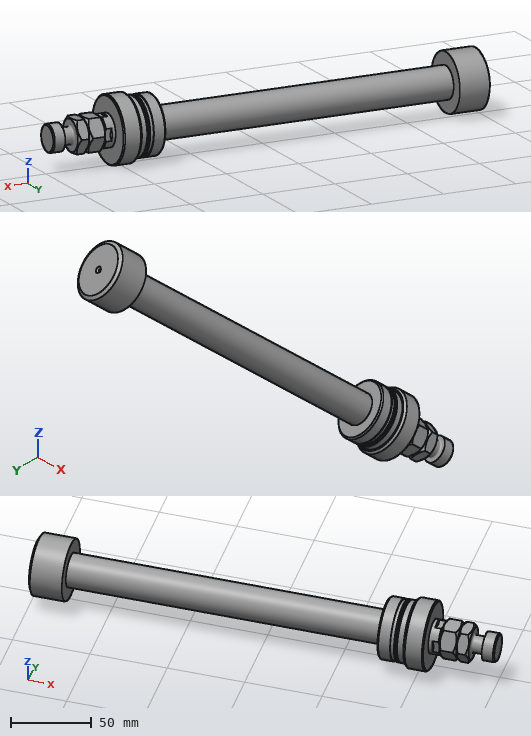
import cadquery as cq
import math


head_diameter = 40
head_length = 22
head_rear_taper_length = 0.8
head_rear_taper_depth = 0.25
head_face_diameter = 34.8
head_chamfer_length = 1.5
rod_diameter = 22
rod_end = 263
rod_end_chamfer = 0.6
wrench_start = 258.5
wrench_flat_width = 20.4

countersink_diameter = 4.4
countersink_angle = 90
pilot_diameter = 2
pilot_depth = 5

gland_start = 225.5
gland_diameter = 40
gland_chamfer = 1
grooves = [(234, 236.5), (237.5, 238.5)]
groove_depth = 0.6
shoulder_start = 242.8
shoulder_diameter = 42
flange_start = 244.4
flange_end = 256
flange_diameter = 45
flange_chamfer = 0.8

hex_across_flats = 22
hex_face_diameter = 21
hex_chamfer_angle = 37
hexagon_length = 11
lock_nut_length = 8
neck_diameter = 11.3
neck_fillet = 1.1
button_start = 290
button_diameter = 18.5
button_chamfer = 0.8
overall_length = 298


def revolve_profile(points):
    """Solid turned about the X axis from (x, radius) points that start and end on the axis."""
    outline = [(x, -radius) for x, radius in points]
    return cq.Workplane("XY").polyline(outline).close().revolve(360, (0, 0, 0), (1, 0, 0))


def cylinder(start, end, diameter):
    """Solid cylinder along X between two X positions."""
    radius = diameter / 2
    return revolve_profile([(start, 0), (start, radius), (end, radius), (end, 0)])


def make_centre_hole():
    """Space taken by the countersunk pilot hole in the head face."""
    countersink_radius = countersink_diameter / 2
    pilot_radius = pilot_diameter / 2
    half_angle = math.radians(countersink_angle / 2)
    countersink_depth = (countersink_radius - pilot_radius) / math.tan(half_angle)
    return revolve_profile([
        (0, 0),
        (0, countersink_radius),
        (countersink_depth, pilot_radius),
        (pilot_depth, pilot_radius),
        (pilot_depth, 0),
    ])


def make_wrench_waste():
    """Material milled off around the four flats, leaving a 45 degree conical run-out."""
    flat_distance = wrench_flat_width / 2
    rod_radius = rod_diameter / 2
    run_out_end = wrench_start + rod_radius - flat_distance
    square = (
        cq.Workplane("YZ", origin=(wrench_start, 0, 0))
        .rect(wrench_flat_width, wrench_flat_width)
        .extrude(rod_end - wrench_start)
    )
    run_out = revolve_profile([
        (wrench_start, 0),
        (wrench_start, rod_radius),
        (run_out_end, flat_distance),
        (run_out_end, 0),
    ])
    return cylinder(wrench_start, rod_end, head_diameter).cut(square).cut(run_out)


def make_rod():
    head_radius = head_diameter / 2
    rod_radius = rod_diameter / 2
    turned = revolve_profile([
        (0, 0),
        (0, head_face_diameter / 2),
        (head_chamfer_length, head_radius),
        (head_length - head_rear_taper_length, head_radius),
        (head_length, head_radius - head_rear_taper_depth),
        (head_length, rod_radius),
        (rod_end - rod_end_chamfer, rod_radius),
        (rod_end, rod_radius - rod_end_chamfer),
        (rod_end, 0),
    ])
    return turned.cut(make_wrench_waste()).cut(make_centre_hole())


def make_gland():
    gland_radius = gland_diameter / 2
    shoulder_radius = shoulder_diameter / 2
    flange_radius = flange_diameter / 2
    gland = revolve_profile([
        (gland_start, 0),
        (gland_start, gland_radius - gland_chamfer),
        (gland_start + gland_chamfer, gland_radius),
        (shoulder_start, gland_radius),
        (shoulder_start, shoulder_radius),
        (flange_start, flange_radius),
        (flange_end - flange_chamfer, flange_radius),
        (flange_end, flange_radius - flange_chamfer),
        (flange_end, 0),
    ])
    for start, end in grooves:
        core = cylinder(start, end, gland_diameter - 2 * groove_depth)
        gland = gland.cut(cylinder(start, end, flange_diameter).cut(core))
    return gland.cut(cylinder(gland_start, flange_end, rod_diameter))


def make_hexagon(start, length):
    """Hexagon with flats facing up and down and its corners turned off at both ends."""
    corner_diameter = hex_across_flats / math.cos(math.pi / 6)
    corner_radius = corner_diameter / 2
    face_radius = hex_face_diameter / 2
    chamfer_length = (corner_radius - face_radius) * math.tan(math.radians(hex_chamfer_angle))
    prism = cq.Workplane("YZ", origin=(start, 0, 0)).polygon(6, corner_diameter).extrude(length)
    envelope = revolve_profile([
        (start, 0),
        (start, face_radius),
        (start + chamfer_length, corner_radius),
        (start + length - chamfer_length, corner_radius),
        (start + length, face_radius),
        (start + length, 0),
    ])
    return prism.intersect(envelope)


def make_stud(start):
    """Neck filleted at both ends, from the lock nut face to the chamfered button."""
    neck_radius = neck_diameter / 2
    fillet_radius = neck_radius + neck_fillet
    fillet_rise = neck_fillet * (1 - math.sqrt(0.5))
    button_radius = button_diameter / 2
    profile = (
        cq.Workplane("XZ")
        .moveTo(start, 0)
        .lineTo(start, fillet_radius)
        .threePointArc((start + fillet_rise, neck_radius + fillet_rise), (start + neck_fillet, neck_radius))
        .lineTo(button_start - neck_fillet, neck_radius)
        .threePointArc((button_start - fillet_rise, neck_radius + fillet_rise), (button_start, fillet_radius))
        .lineTo(button_start, button_radius)
        .lineTo(overall_length - button_chamfer, button_radius)
        .lineTo(overall_length, button_radius - button_chamfer)
        .lineTo(overall_length, 0)
        .close()
    )
    return profile.revolve(360, (0, 0, 0), (1, 0, 0))


def make_coupling():
    lock_nut_start = rod_end + hexagon_length
    hexagon = make_hexagon(rod_end, hexagon_length)
    lock_nut = make_hexagon(lock_nut_start, lock_nut_length)
    stud = make_stud(lock_nut_start + lock_nut_length)
    return hexagon.union(lock_nut).union(stud)


rod = make_rod().solids()
gland = make_gland().solids()
coupling = make_coupling().solids()

result = cq.Compound.makeCompound([rod.val(), gland.val(), coupling.val()])